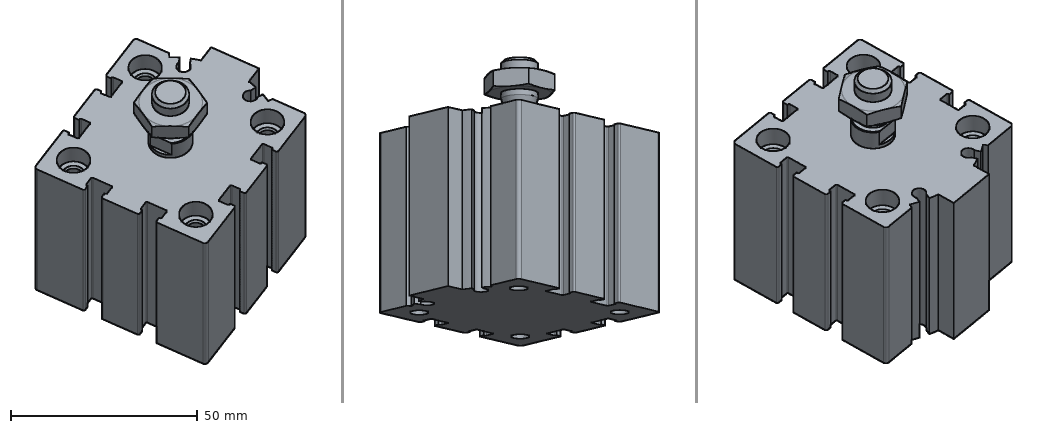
import cadquery as cq
import math

body_width = 53.5
body_height = 49.5
half_width = body_width / 2
corner_radius = 1.0

total_depth = 61.0
rail_width = 14.9
rail_top_y = total_depth - half_width
shoulder_radius = 29.8
shoulder_end_angle = 31.0
groove_angle = 22.8
groove_centre_radius = 26.7
groove_diameter = 3.9
groove_opening = 3.0

slot_pitch = 17.0
slot_opening = 5.2
slot_inner_width = 6.5
slot_depth = 5.0
slot_lip = 1.8
slot_edge_radius = 0.5
slot_inner_radius = 0.3

hole_pitch = 38.0
hole_diameter = 4.92
countersink_diameter = 6.0
counterbore_diameter = 9.0
counterbore_depth = 5.7

rod_diameter = 12.0
rod_shoulder_height = 6.0
flat_width = 10.0
flat_start = 1.25
thread_diameter = 10.0
taper_diameter = 8.57
neck_base_diameter = 8.65
neck_diameter = 8.2
neck_start = 6.5
neck_end = 6.95
taper_start = 7.2
thread_start = 9.5
rod_height = 20.0
end_chamfer = 0.9
shoulder_chamfer = 0.2

nut_across_flats = 17.0
nut_thickness = 5.0
nut_base = 11.0
nut_across_corners = nut_across_flats / math.cos(math.radians(30))
nut_chamfer_angle = 15.0


def polar(radius, angle):
    """Point at a radius from the rod axis, at an angle in degrees from +Y towards +X."""
    turn = math.radians(angle)
    return radius * math.sin(turn), radius * math.cos(turn)


def make_blank():
    """Square body with the sensor rail and its arc-shaped shoulders."""
    block = (
        cq.Workplane("XY")
        .rect(body_width, body_width)
        .extrude(body_height)
        .edges("|Z")
        .fillet(corner_radius)
    )
    start = polar(shoulder_radius, -shoulder_end_angle)
    end = polar(shoulder_radius, shoulder_end_angle)
    clear_start = polar(2 * shoulder_radius, -shoulder_end_angle)
    clear_end = polar(2 * shoulder_radius, shoulder_end_angle)
    above_shoulder = (
        cq.Workplane("XY")
        .moveTo(*start)
        .threePointArc((0, shoulder_radius), end)
        .lineTo(*clear_end)
        .lineTo(*clear_start)
        .close()
        .extrude(body_height)
    )
    sector = (
        cq.Workplane("XY")
        .moveTo(0, 0)
        .lineTo(*start)
        .threePointArc((0, shoulder_radius), end)
        .close()
        .extrude(body_height)
    )
    rail = cq.Workplane("XY").box(
        rail_width, rail_top_y, body_height, centered=(True, False, False)
    )
    return block.cut(above_shoulder).union(sector).union(rail)


def make_sensor_groove(side):
    """Round groove with a narrower radial opening, on the +X (1) or -X (-1) side."""
    bore = cq.Workplane("XY").circle(groove_diameter / 2).extrude(body_height)
    opening = cq.Workplane("XY").box(
        groove_opening, groove_diameter * 2, body_height, centered=(True, False, False)
    )
    return (
        bore.union(opening)
        .translate((0, groove_centre_radius, 0))
        .rotate((0, 0, 0), (0, 0, 1), -side * groove_angle)
    )


def make_t_slot():
    """T-slot with its mouth on the -Y face, centred on X = 0."""
    inner_depth = slot_depth - slot_lip
    mouth_half = slot_opening / 2
    mouth = (
        cq.Workplane("XY")
        .moveTo(-mouth_half - slot_edge_radius, 0)
        .radiusArc((-mouth_half, slot_edge_radius), -slot_edge_radius)
        .lineTo(-mouth_half, slot_lip)
        .lineTo(mouth_half, slot_lip)
        .lineTo(mouth_half, slot_edge_radius)
        .radiusArc((mouth_half + slot_edge_radius, 0), -slot_edge_radius)
        .close()
        .extrude(body_height)
    )
    inner = (
        cq.Workplane("XY")
        .center(0, slot_lip + inner_depth / 2)
        .rect(slot_inner_width, inner_depth)
        .extrude(body_height)
        .edges("|Z")
        .fillet(slot_inner_radius)
    )
    return mouth.union(inner).translate((0, -half_width, 0))


def make_mounting_hole():
    """Counterbore, countersink and through hole as one revolved cutter on the Z axis."""
    floor = body_height - counterbore_depth
    hole_radius = hole_diameter / 2
    sink_radius = countersink_diameter / 2
    bore_radius = counterbore_diameter / 2
    return (
        cq.Workplane("XZ")
        .moveTo(0, 0)
        .lineTo(hole_radius, 0)
        .lineTo(hole_radius, floor - (sink_radius - hole_radius))
        .lineTo(sink_radius, floor)
        .lineTo(bore_radius, floor)
        .lineTo(bore_radius, body_height)
        .lineTo(0, body_height)
        .close()
        .revolve(360, (0, 0, 0), (0, 1, 0))
    )


def make_housing():
    housing = make_blank()
    for side in (-1, 1):
        housing = housing.cut(make_sensor_groove(side))
    for face_turn in (-90, 0, 90):
        for side in (-1, 1):
            slot = make_t_slot().translate((side * slot_pitch / 2, 0, 0))
            housing = housing.cut(slot.rotate((0, 0, 0), (0, 0, 1), face_turn))
    for side_x in (-1, 1):
        for side_y in (-1, 1):
            place = (side_x * hole_pitch / 2, side_y * hole_pitch / 2, 0)
            housing = housing.cut(make_mounting_hole().translate(place))
    return housing


def make_rod():
    """Rod standing on the body: wrench flats, undercut neck and threaded end."""
    rod = (
        cq.Workplane("XZ")
        .moveTo(0, 0)
        .lineTo(rod_diameter / 2, 0)
        .lineTo(rod_diameter / 2, rod_shoulder_height - shoulder_chamfer)
        .lineTo(rod_diameter / 2 - shoulder_chamfer, rod_shoulder_height)
        .lineTo(neck_base_diameter / 2, rod_shoulder_height)
        .lineTo(neck_diameter / 2, neck_start)
        .lineTo(neck_diameter / 2, neck_end)
        .lineTo(taper_diameter / 2, taper_start)
        .lineTo(thread_diameter / 2, thread_start)
        .lineTo(thread_diameter / 2, rod_height - end_chamfer)
        .lineTo(thread_diameter / 2 - end_chamfer, rod_height)
        .lineTo(0, rod_height)
        .close()
        .revolve(360, (0, 0, 0), (0, 1, 0))
    )
    for side in (-1, 1):
        flat_cut = cq.Workplane("XY").box(
            rod_diameter,
            rod_diameter,
            rod_shoulder_height - flat_start,
            centered=(True, True, False),
        )
        rod = rod.cut(flat_cut.translate((0, side * (flat_width + rod_diameter) / 2, flat_start)))
    return rod.translate((0, 0, body_height))


def make_nut():
    """Hexagon nut with its corners chamfered on both faces."""
    flat_radius = nut_across_flats / 2
    tip_radius = nut_across_corners / 2
    chamfer_height = (tip_radius - flat_radius) * math.tan(math.radians(nut_chamfer_angle))
    hexagon = (
        cq.Workplane("XY")
        .polygon(6, nut_across_corners)
        .extrude(nut_thickness)
        .rotate((0, 0, 0), (0, 0, 1), 30)
    )
    chamfer_envelope = (
        cq.Workplane("XZ")
        .moveTo(0, 0)
        .lineTo(flat_radius, 0)
        .lineTo(tip_radius, chamfer_height)
        .lineTo(tip_radius, nut_thickness - chamfer_height)
        .lineTo(flat_radius, nut_thickness)
        .lineTo(0, nut_thickness)
        .close()
        .revolve(360, (0, 0, 0), (0, 1, 0))
    )
    thread_bore = cq.Workplane("XY").circle(thread_diameter / 2).extrude(nut_thickness)
    nut = hexagon.intersect(chamfer_envelope).cut(thread_bore)
    return nut.translate((0, 0, body_height + nut_base))


housing = make_housing()
rod = make_rod()
nut = make_nut()
result = cq.Compound.makeCompound([housing.val(), rod.val(), nut.val()])